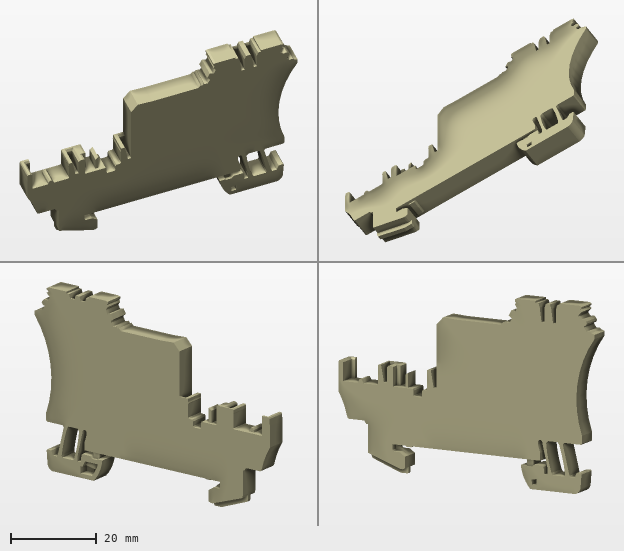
import cadquery as cq


THICKNESS = 5.0
LENGTH = 68.05
HEIGHT = 45.05

DECK_Z = 20.75
BLOCK_TOP_Z = 25.65
SHELF_Z = 38.45
RAIL_SEAT_Z = 7.0
OVERHANG_Z = 11.9
FOOT_FLOOR_Z = 3.9

TOP_LEDGE_Z = 44.6
TOP_NOTCH_FLOOR_Z = 43.55
TOP_NOTCH_STARTS = (57.8, 54.7)
TOP_NOTCH_FLOOR = 1.2
TOP_NOTCH_FLARE = 0.35

STEP_FRONT_Y = 23.6
TOWER_FRONT_Y = 26.1
BLOCK_FRONT_Y = 10.55
BLOCK_BACK_Y = 15.45
BLOCK_EDGE = 0.2
BLOCK_BACK_RUN = 0.5
WALL_BACK_Y = 2.25

WALL_PLATE = 0.95
WALL_LEAD = 0.4
THIN_WALL_Y = 1.3
BLOCK_RELIEF_X = 3.05
BLOCK_RELIEF_Y = 14.5

SLOT_PLATE = 0.9
SLOT_LEAD = 0.5
SLOT_WIDTH = 1.55
SLOT_FLOOR = 0.8
SLOT_DEPTH = 4.1
BLOCK_SLOT_BACK_Y = 12.9
TOP_SLOT_PLATE = 0.7
TOP_SLOT_LEAD = 0.3
TOP_SLOT_FLOOR = 0.75
TOP_SLOT_DEPTH = 3.4

RIB_X = 2.1
RIB_WIDTH = 1.0
HOOK_FRONT_Y = 7.8
HOOK_TIP_Y = 17.7
HOOK_THROAT_Y = 14.35
HOOK_TIP_Z = 4.35

RECESS_DEPTH = 1.35
WINDOW_RECESS_DEPTH = 2.4

METAL_MARGIN = 0.7
METAL_WIDTH = THICKNESS - 2 * METAL_MARGIN
BUMP_X = 0.95
BLADE_FRONT_Y = 17.4
BLADE_BACK_Y = 18.2
BLADE_TOP_Z = 24.3
BLADE_TIP_DROP = 0.55
STUB_FRONT_Y = 49.75
STUB_BACK_Y = 51.45
STUB_FOOT_Z = 5.3
STUB_EDGE = 0.3


def prism(points, start_x=0.0, width=THICKNESS):
    """Extrude a closed (Y, Z) polygon along X."""
    return cq.Workplane("YZ", origin=(start_x, 0, 0)).polyline(points).close().extrude(width)


def back_teeth():
    return [
        (LENGTH, 38.5), (67.2, 38.85), (66.8, 39.2), (66.15, 39.2), (66.0, 39.0),
        (65.25, 40.0), (65.25, 40.3), (65.75, 40.5), (66.0, 41.0), (65.8, 41.45), (65.3, 41.9),
        (64.4, 41.8), (63.75, 42.45), (63.75, 42.8), (64.6, 43.6), (64.05, 44.1), (64.6, 44.45),
        (64.6, 44.8), (64.1, HEIGHT),
    ]


def top_notches():
    points = [(58.8, HEIGHT), (58.8, TOP_LEDGE_Z)]
    for start in TOP_NOTCH_STARTS:
        end = start - TOP_NOTCH_FLOOR
        points += [
            (start + TOP_NOTCH_FLARE, TOP_LEDGE_Z),
            (start, TOP_NOTCH_FLOOR_Z),
            (end, TOP_NOTCH_FLOOR_Z),
            (end - TOP_NOTCH_FLARE, TOP_LEDGE_Z),
        ]
    return points + [(52.4, TOP_LEDGE_Z), (52.4, HEIGHT)]


def front_teeth():
    return [
        (47.4, HEIGHT), (46.9, 44.9), (46.9, 44.45), (47.15, 44.0), (46.9, 43.6), (47.4, 42.8), (46.95, 41.8),
        (46.7, 42.0), (45.9, 42.1), (45.25, 40.9), (46.0, 40.3), (45.9, 39.95), (45.45, 39.1), (44.6, 39.2),
        (44.45, 39.4), (43.95, 38.8), (43.7, 39.05), (43.1, SHELF_Z),
    ]


def tower_and_deck():
    return [
        (31.5, SHELF_Z), (27.8, 38.65), (TOWER_FRONT_Y, 36.8),
        (TOWER_FRONT_Y, BLOCK_TOP_Z), (STEP_FRONT_Y, BLOCK_TOP_Z),
        (STEP_FRONT_Y, 24.9), (23.5, 24.6), (STEP_FRONT_Y, 24.35),
        (STEP_FRONT_Y, 21.0), (23.35, DECK_Z), (22.45, DECK_Z),
        (22.2, 20.35), (22.2, 19.2), (22.0, 18.9), (20.15, 18.9), (19.95, 19.2), (19.95, 20.35), (19.75, DECK_Z),
        (BLOCK_BACK_Y, DECK_Z),
        (BLOCK_BACK_Y, BLOCK_TOP_Z - BLOCK_EDGE), (BLOCK_BACK_Y - BLOCK_BACK_RUN, BLOCK_TOP_Z),
        (BLOCK_FRONT_Y + BLOCK_EDGE, BLOCK_TOP_Z), (BLOCK_FRONT_Y, BLOCK_TOP_Z - BLOCK_EDGE),
        (BLOCK_FRONT_Y - 0.1, 24.7), (BLOCK_FRONT_Y, 24.4), (BLOCK_FRONT_Y, 20.95), (10.3, DECK_Z),
        (WALL_BACK_Y, DECK_Z), (WALL_BACK_Y, BLOCK_TOP_Z),
        (0.3, BLOCK_TOP_Z), (0.1, 25.3), (0.0, 23.7), (0.0, 18.3),
    ]


def front_hook_cheek():
    return [
        (6.9, OVERHANG_Z), (7.4, 11.15), (HOOK_FRONT_Y, 11.15), (HOOK_FRONT_Y, 4.9), (7.95, 4.3),
        (16.55, 1.3), (17.0, 1.3), (HOOK_TIP_Y, 1.55), (HOOK_TIP_Y, HOOK_TIP_Z), (16.25, 5.3),
        (14.6, 5.3), (HOOK_THROAT_Y, 5.65), (HOOK_THROAT_Y, RAIL_SEAT_Z),
    ]


def foot_throat():
    return [(53.6, RAIL_SEAT_Z), (53.6, 8.9), (53.0, 10.9), (53.0, 11.6)]


def foot_top():
    return [
        (55.6, 5.25), (55.6, FOOT_FLOOR_Z), (54.7, FOOT_FLOOR_Z), (54.5, 5.65), (54.3, 5.9),
        (52.0, 5.9), (STUB_BACK_Y, STUB_FOOT_Z), (STUB_FRONT_Y + STUB_EDGE, STUB_FOOT_Z),
        (STUB_FRONT_Y + STUB_EDGE / 2, 5.5), (48.45, 5.5),
    ]


def foot_heel():
    return [
        (64.6, 4.8), (64.4, 5.1), (63.3, 5.05), (62.75, FOOT_FLOOR_Z), (61.65, FOOT_FLOOR_Z),
        (61.4, 4.2), (59.6, 11.5), (59.95, OVERHANG_Z), (64.45, OVERHANG_Z), (64.7, 12.2), (64.7, 14.1),
    ]


def housing_plate():
    over_top = back_teeth() + top_notches() + front_teeth() + tower_and_deck()
    return (
        cq.Workplane("YZ")
        .moveTo(LENGTH, 37.5)
        .polyline(over_top, includeCurrent=True)
        .threePointArc((1.4, 15.4), (2.3, 12.6))
        .polyline([(2.5, 12.1), (2.8, OVERHANG_Z)] + front_hook_cheek() + foot_throat(), includeCurrent=True)
        .threePointArc((53.55, 12.0), (54.2, 11.35))
        .polyline(foot_top(), includeCurrent=True)
        .threePointArc((49.2, 2.7), (51.0, 0.0))
        .lineTo(62.9, 0.0)
        .threePointArc((63.8, 0.55), (64.3, 1.4))
        .polyline(foot_heel(), includeCurrent=True)
        .threePointArc((63.2, 23.15), (LENGTH, 37.5))
        .close()
        .extrude(THICKNESS)
    )


def spring_arm_gap():
    """Opening between the two curved spring arms of the foot."""
    return (
        cq.Workplane("YZ")
        .moveTo(58.2, OVERHANG_Z)
        .lineTo(55.65, OVERHANG_Z)
        .lineTo(55.2, 11.35)
        .threePointArc((55.6, 8.3), (56.6, 4.4))
        .lineTo(56.95, FOOT_FLOOR_Z)
        .lineTo(60.1, FOOT_FLOOR_Z)
        .lineTo(60.2, 4.4)
        .threePointArc((59.6, 7.8), (58.65, 11.35))
        .close()
        .extrude(THICKNESS)
    )


def front_hook_rib():
    points = [
        (HOOK_FRONT_Y, HOOK_TIP_Z), (HOOK_FRONT_Y, 3.4), (8.1, 2.8), (15.5, 0.0), (17.4, 0.0),
        (HOOK_TIP_Y, 0.3), (HOOK_TIP_Y, HOOK_TIP_Z), (16.1, 5.7), (15.65, 5.9), (15.05, 6.4), (15.05, 6.75),
        (15.3, RAIL_SEAT_Z), (HOOK_FRONT_Y, RAIL_SEAT_Z),
    ]
    return prism(points, RIB_X, RIB_WIDTH)


def beside_plate(cutter, plate, lead, bottom_z, top_z):
    """Keep a side plate beside a cutter, with a lead-in chamfer on the plate's upper edge."""
    points = [
        (plate - lead, top_z), (THICKNESS, top_z), (THICKNESS, bottom_z),
        (plate, bottom_z), (plate, top_z - lead),
    ]
    clearance = cq.Workplane("XZ", origin=(0, LENGTH, 0)).polyline(points).close().extrude(LENGTH)
    return cutter.intersect(clearance)


def jumper_slot(back_y, width, floor, top_z, depth):
    """Slot with an upright back face and a sloped front face."""
    bottom_z = top_z - depth
    return prism([(back_y - width, top_z), (back_y, top_z), (back_y, bottom_z), (back_y - floor, bottom_z)])


def slot_lead(back_y, width, top_z, lead):
    """Chamfer along the back edge of a slot."""
    front_y = back_y - width
    return prism([(front_y, top_z), (back_y + lead, top_z), (back_y, top_z - lead), (front_y, top_z - lead / 2)])


def deck_slots():
    """Slot against the tower and slot in the block, the latter with a chamfered back edge."""
    slots = slot_lead(BLOCK_SLOT_BACK_Y, SLOT_FLOOR, BLOCK_TOP_Z, SLOT_LEAD)
    for back_y in (TOWER_FRONT_Y, BLOCK_SLOT_BACK_Y):
        slots = slots.union(jumper_slot(back_y, SLOT_WIDTH, SLOT_FLOOR, BLOCK_TOP_Z, SLOT_DEPTH))
    return beside_plate(slots, SLOT_PLATE, SLOT_LEAD, BLOCK_TOP_Z - SLOT_DEPTH, BLOCK_TOP_Z)


def top_slot(back_y):
    """Slot in the floor of one jumper notch in the top face."""
    slot = jumper_slot(back_y, TOP_NOTCH_FLOOR, TOP_SLOT_FLOOR, TOP_NOTCH_FLOOR_Z, TOP_SLOT_DEPTH)
    bottom_z = TOP_NOTCH_FLOOR_Z - TOP_SLOT_DEPTH
    return beside_plate(slot, TOP_SLOT_PLATE, TOP_SLOT_LEAD, bottom_z, TOP_NOTCH_FLOOR_Z)


def block_relief():
    """Set-back of the block's rear face beyond the side plate, with the same top bevel."""
    points = [
        (BLOCK_RELIEF_Y, DECK_Z), (BLOCK_BACK_Y, DECK_Z), (BLOCK_BACK_Y, BLOCK_TOP_Z),
        (BLOCK_RELIEF_Y - BLOCK_BACK_RUN, BLOCK_TOP_Z), (BLOCK_RELIEF_Y, BLOCK_TOP_Z - BLOCK_EDGE),
    ]
    return prism(points, BLOCK_RELIEF_X, THICKNESS - BLOCK_RELIEF_X)


def wall_relief():
    """Thinning of the front wall beyond the side plate."""
    cutter = prism([
        (THIN_WALL_Y, DECK_Z), (WALL_BACK_Y, DECK_Z), (WALL_BACK_Y, BLOCK_TOP_Z),
        (THIN_WALL_Y - WALL_LEAD, BLOCK_TOP_Z), (THIN_WALL_Y, BLOCK_TOP_Z - WALL_LEAD),
    ])
    return beside_plate(cutter, WALL_PLATE, WALL_LEAD, DECK_Z, BLOCK_TOP_Z)


def foot_recess():
    upper = [(53.5, 4.3), (49.75, 4.3), (50.0, 3.4), (51.45, 1.1), (52.6, 1.1), (52.6, 2.5), (54.2, 2.85)]
    lower = [(54.7, 2.85), (54.2, 2.85), (52.6, 2.5), (52.6, 1.1), (54.7, 1.1)]
    return prism(upper, width=RECESS_DEPTH).union(prism(lower, width=WINDOW_RECESS_DEPTH))


def foot_window():
    return prism([(52.6, 2.5), (51.3, 2.3), (51.45, 1.1), (52.6, 1.1)])


def make_housing():
    body = housing_plate().union(front_hook_rib())
    body = body.cut(spring_arm_gap()).cut(block_relief()).cut(wall_relief())
    body = body.cut(foot_recess()).cut(foot_window()).cut(deck_slots())
    for back_y in TOP_NOTCH_STARTS:
        body = body.cut(top_slot(back_y))
    return body


def make_contact_blade():
    """Upright blade on the deck with a slanted tip."""
    points = [
        (BLADE_FRONT_Y, DECK_Z), (BLADE_BACK_Y, DECK_Z),
        (BLADE_BACK_Y, BLADE_TOP_Z), (BLADE_FRONT_Y, BLADE_TOP_Z - BLADE_TIP_DROP),
    ]
    return prism(points, METAL_MARGIN, METAL_WIDTH)


def make_contact_bump():
    """Low contact ridge on the front deck."""
    points = [(6.75, DECK_Z), (6.2, 21.7), (5.7, 21.7), (5.4, 21.3), (5.25, DECK_Z)]
    return prism(points, BUMP_X, THICKNESS - BUMP_X)


def make_foot_stub():
    """Stub between the rail seat and the notch in the sprung foot."""
    points = [
        (STUB_BACK_Y, RAIL_SEAT_Z), (STUB_BACK_Y, STUB_FOOT_Z), (STUB_FRONT_Y + STUB_EDGE, STUB_FOOT_Z),
        (STUB_FRONT_Y, 5.9), (STUB_FRONT_Y, RAIL_SEAT_Z),
    ]
    return prism(points, METAL_MARGIN, METAL_WIDTH)


def make_rail_pad():
    """Thin pad under the rail seat near the front hook."""
    points = [(19.45, RAIL_SEAT_Z), (19.05, 6.6), (17.75, 6.6), (17.35, RAIL_SEAT_Z)]
    return prism(points, METAL_MARGIN, METAL_WIDTH)


housing = make_housing()
contact_blade = make_contact_blade()
contact_bump = make_contact_bump()
foot_stub = make_foot_stub()
rail_pad = make_rail_pad()

result = cq.Compound.makeCompound([
    housing.val(), contact_blade.val(), contact_bump.val(), foot_stub.val(), rail_pad.val(),
])